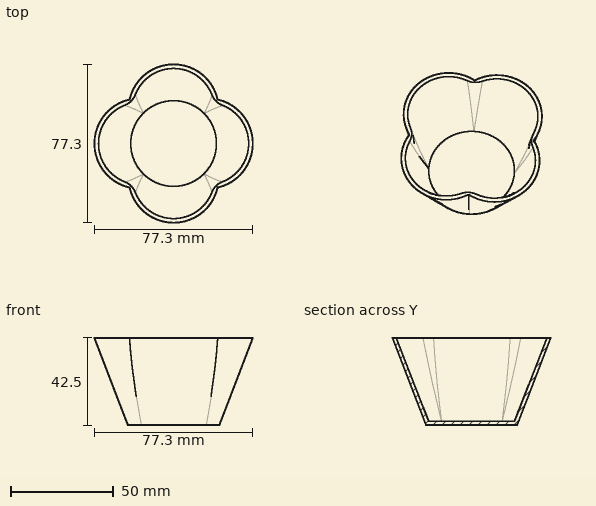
import cadquery as cq

HEIGHT = 42.51
WIDTH = 77.29
BASE_RADIUS = 22.35
LOBE_RADIUS = 22.04
LOBE_OFFSET = WIDTH / 2 - LOBE_RADIUS
LOBE_COUNT = 4
LOBE_PITCH = 360 / LOBE_COUNT

WALL = 2.05
FLOOR_THICKNESS = 2.0
FLOOR_RADIUS = 20.9
RIDGE_FILLET_RADIUS = 9.0


def lobe(bottom_z, bottom_radius, rim_radius):
    """Quarter of a body: an oblique cone leaning to -X, trimmed at the two diagonals."""
    cone = (
        cq.Workplane("XY", origin=(0, 0, bottom_z))
        .circle(bottom_radius)
        .workplane(offset=HEIGHT - bottom_z)
        .center(-LOBE_OFFSET, 0)
        .circle(rim_radius)
        .loft(ruled=True)
    )
    wedge = (
        cq.Workplane("XY")
        .polyline([(0, 0), (-WIDTH, WIDTH), (-WIDTH, -WIDTH)])
        .close()
        .extrude(HEIGHT)
    )
    return cone.intersect(wedge)


def four_lobed_body(bottom_z, bottom_radius, rim_radius):
    """Solid with a round bottom that spreads into evenly spaced lobes at the rim."""
    quarter = lobe(bottom_z, bottom_radius, rim_radius)
    body = quarter
    for index in range(1, LOBE_COUNT):
        body = body.union(quarter.rotate((0, 0, 0), (0, 0, 1), index * LOBE_PITCH))
    return body.clean()


def make_cavity():
    """Inner volume, with the edges between its lobes rounded from floor to rim."""
    body = four_lobed_body(FLOOR_THICKNESS, FLOOR_RADIUS, LOBE_RADIUS - WALL)
    return body.edges("not(<Z or >Z)").fillet(RIDGE_FILLET_RADIUS)


outer = four_lobed_body(0, BASE_RADIUS, LOBE_RADIUS)
result = outer.cut(make_cavity())